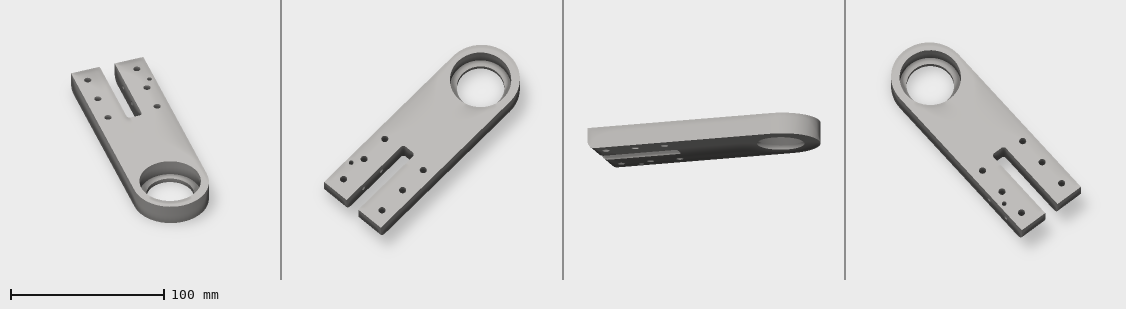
import cadquery as cq

length = 150.0
width = 50.0
thickness = 14.0
end_radius = width / 2
bottom_edge_radius = 5.0

slot_length = 54.9
slot_width = 10.4
slot_corner_radius = 2.1

bore_x = 124.0
bore_diameter = 40.0
bore_depth = 11.0
through_diameter = 31.0

mount_hole_diameter = 4.6
mount_hole_first_x = 10.0
mount_hole_pitch = 20.0
mount_holes_per_row = 3
mount_row_offset = 17.0
small_hole_diameter = 3.2
small_hole_x = 22.4
small_hole_y = 21.5

cross_hole_diameter = 3.2
cross_hole_xs = (16.6, 33.8)


def make_plate():
    """Flat bar with one round end and a rounded lower edge at the open end."""
    arc_start_x = length - end_radius
    plate = (
        cq.Workplane("XY")
        .moveTo(0, -width / 2)
        .lineTo(arc_start_x, -width / 2)
        .threePointArc((length, 0), (arc_start_x, width / 2))
        .lineTo(0, width / 2)
        .close()
        .extrude(thickness)
    )
    return plate.faces("<X").edges("<Z").fillet(bottom_edge_radius)


def make_slot():
    """Cutter for the slot, with rounded corners at its closed end."""
    return (
        cq.Workplane("XY")
        .box(slot_length, slot_width, thickness, centered=(False, True, False))
        .edges("|Z and >X")
        .fillet(slot_corner_radius)
    )


def vertical_cylinder(x, y, diameter, bottom=0.0):
    """Vertical hole cutter from the given height up to the top face."""
    return (
        cq.Workplane("XY", origin=(x, y, bottom))
        .circle(diameter / 2)
        .extrude(thickness - bottom)
    )


def cross_cylinder(x):
    """Cutter from the middle of the slot out through the +Y side."""
    return (
        cq.Workplane("XZ", origin=(x, 0, thickness / 2))
        .circle(cross_hole_diameter / 2)
        .extrude(-width / 2)
    )


result = make_plate().cut(make_slot())

result = result.cut(vertical_cylinder(bore_x, 0, through_diameter))
result = result.cut(vertical_cylinder(bore_x, 0, bore_diameter, thickness - bore_depth))

for index in range(mount_holes_per_row):
    hole_x = mount_hole_first_x + index * mount_hole_pitch
    for hole_y in (-mount_row_offset, mount_row_offset):
        result = result.cut(vertical_cylinder(hole_x, hole_y, mount_hole_diameter))

result = result.cut(vertical_cylinder(small_hole_x, small_hole_y, small_hole_diameter))

for cross_x in cross_hole_xs:
    result = result.cut(cross_cylinder(cross_x))